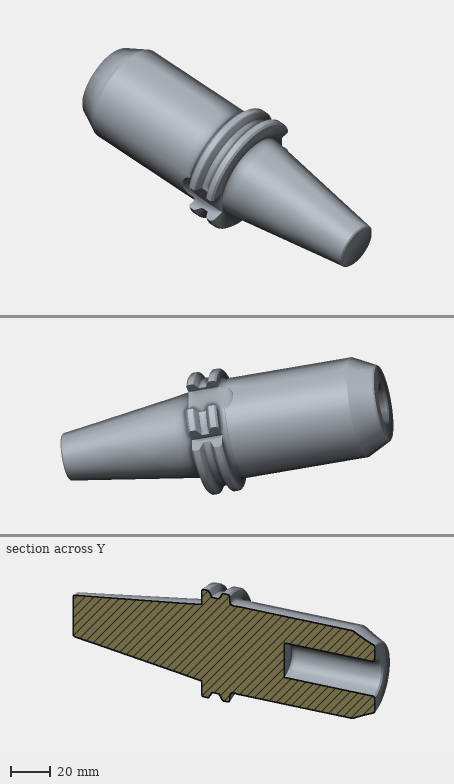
import cadquery as cq
import math


length = 168.4
taper_length = 68.4
gauge_x = length - taper_length
gauge_diameter = 44.5
taper_slope = 7 / 48
tip_chamfer = 0.7

body_radius = 52.0 / 2
nose_radius = 20.0
nose_length = 12.6
nose_chamfer = 0.7

neck_width = 3.4
neck_depth = 0.25
neck_fillet = 2.0

flange_radius = 63.5 / 2
flange_back_offset = 3.2
flange_width = 16.0
flange_back_x = gauge_x - flange_back_offset
flange_front_x = flange_back_x - flange_width
flange_chamfer = 1.0
groove_offset = 11.1
groove_x = gauge_x - groove_offset
groove_floor_radius = 28.1
groove_floor_width = 3.7
groove_half_angle = 30.0
groove_edge_chamfer = 0.5

slot_width = 16.0
front_slot_floor = 22.7
back_slot_floor = 25.0
slot_floor_fillet = 0.7
slot_end_x = 73.0

notch_offset = 18.5

bore_diameter = 20.0
bore_depth = 50.5
bore_chamfer = 0.8


def taper_radius(x):
    """Radius of the steep taper at position x."""
    return gauge_diameter / 2 - (x - gauge_x) * taper_slope


def turned_body():
    """Solid of revolution without the groove, slots and bore."""
    neck_radius = body_radius - neck_depth
    neck_x = flange_front_x - neck_width
    arc_offset = neck_fillet * (1 - math.cos(math.radians(45)))
    tip_radius = taper_radius(length)
    profile = (
        cq.Workplane("XY")
        .moveTo(0, 0)
        .lineTo(0, nose_radius - nose_chamfer)
        .lineTo(nose_chamfer, nose_radius)
        .lineTo(nose_length, body_radius)
        .lineTo(neck_x, body_radius)
        .lineTo(neck_x + neck_depth, neck_radius)
        .lineTo(flange_front_x - neck_fillet, neck_radius)
        .threePointArc(
            (flange_front_x - arc_offset, neck_radius + arc_offset),
            (flange_front_x, neck_radius + neck_fillet),
        )
        .lineTo(flange_front_x, flange_radius - flange_chamfer)
        .lineTo(flange_front_x + flange_chamfer, flange_radius)
        .lineTo(flange_back_x - flange_chamfer, flange_radius)
        .lineTo(flange_back_x, flange_radius - flange_chamfer)
        .lineTo(flange_back_x, taper_radius(flange_back_x))
        .lineTo(length - tip_chamfer, taper_radius(length - tip_chamfer))
        .lineTo(length, tip_radius - tip_chamfer)
        .lineTo(length, 0)
        .close()
    )
    return profile.revolve(360, (0, 0, 0), (1, 0, 0))


def gripper_groove():
    """Ring with a V section, flat floor and broken edges, to be cut from the flange."""
    edge_radius = flange_radius - groove_edge_chamfer
    floor_half = groove_floor_width / 2
    wall_height = edge_radius - groove_floor_radius
    edge_half = floor_half + wall_height * math.tan(math.radians(groove_half_angle))
    rim_half = edge_half + groove_edge_chamfer
    profile = (
        cq.Workplane("XY")
        .moveTo(groove_x - floor_half, groove_floor_radius)
        .lineTo(groove_x - edge_half, edge_radius)
        .lineTo(groove_x - rim_half, flange_radius)
        .lineTo(groove_x + rim_half, flange_radius)
        .lineTo(groove_x + edge_half, edge_radius)
        .lineTo(groove_x + floor_half, groove_floor_radius)
        .close()
    )
    return profile.revolve(360, (0, 0, 0), (1, 0, 0))


def drive_slot(side, floor):
    """Slot with a round front end and a filleted flat floor; side is +1 or -1 along Y."""
    slot_radius = slot_width / 2
    floor_face = "<Y" if side > 0 else ">Y"
    open_end_x = flange_back_x + slot_floor_fillet
    arc_x = slot_end_x + slot_radius
    return (
        cq.Workplane("XZ", origin=(0, side * floor, 0))
        .moveTo(open_end_x, slot_radius)
        .lineTo(arc_x, slot_radius)
        .threePointArc((slot_end_x, 0), (arc_x, -slot_radius))
        .lineTo(open_end_x, -slot_radius)
        .close()
        .extrude(-side * flange_radius)
        .faces(floor_face)
        .edges("not(|Z)")
        .fillet(slot_floor_fillet)
    )


def corner_notch():
    """Square-cornered block that removes the +Y, -Z corner of the flange."""
    start_x = flange_front_x - neck_fillet
    corner = (start_x, notch_offset, -notch_offset - flange_radius)
    block = cq.Workplane("XY").box(
        flange_back_x - start_x, flange_radius, flange_radius, centered=False
    )
    return block.translate(corner)


def bore():
    """Blind bore with a chamfered mouth."""
    radius = bore_diameter / 2
    profile = (
        cq.Workplane("XY")
        .moveTo(0, 0)
        .lineTo(0, radius + bore_chamfer)
        .lineTo(bore_chamfer, radius)
        .lineTo(bore_depth, radius)
        .lineTo(bore_depth, 0)
        .close()
    )
    return profile.revolve(360, (0, 0, 0), (1, 0, 0))


result = turned_body().cut(gripper_groove()).cut(corner_notch()).cut(bore())
for side, floor in ((-1, front_slot_floor), (1, back_slot_floor)):
    result = result.cut(drive_slot(side, floor))